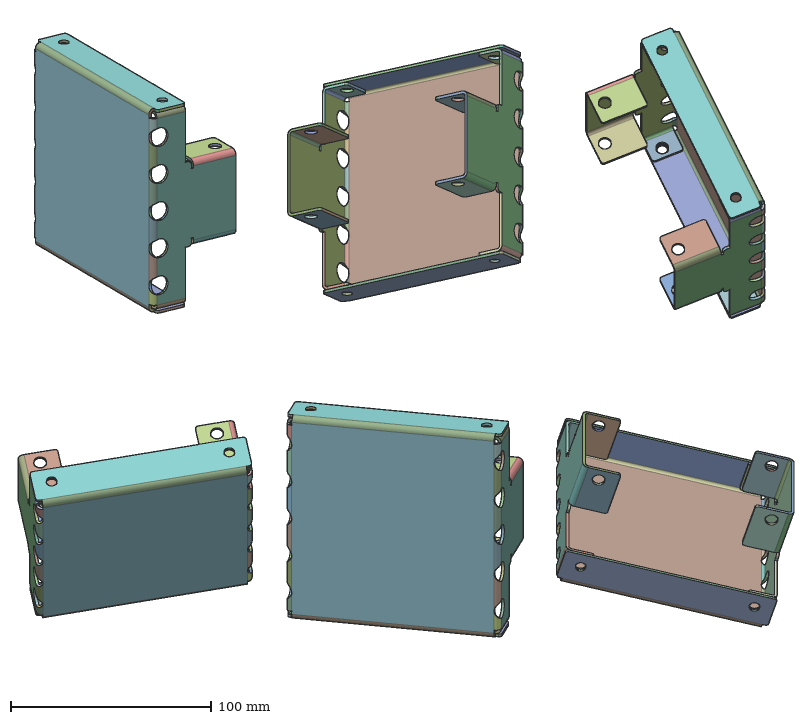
import cadquery as cq
import math

WIDTH = 110.0
HEIGHT = 110.0
DEPTH = 50.0
BEND = 3.0
SHEET = BEND / 2
CORNER = 1.5

RIM_DEPTH = 20.0
LIP_LENGTH = 15.0
LIP_GAP = 0.1
RIM_HOLE_DIAMETER = 5.3
LIP_HOLE_DIAMETER = 6.4
RIM_HOLE_INSET = 9.8
RIM_HOLE_SETBACK = 12.5

EXTENSION_HEIGHT = 46.0
TAB_DEPTH = 25.3
TAB_LENGTH = 20.0
TAB_HOLE_DIAMETER = 6.4
TAB_HOLE_SETBACK = 6.0
RELIEF_WIDTH = 1.2
RELIEF_DEPTH = 4.2
SHOULDER_RADIUS = 2.0

VENT_DIAMETER = 10.0
VENT_PITCH = 20.0
VENT_COUNT = 5
CURVE_POINTS = 24

SIDE_X = WIDTH / 2
TOP_Z = HEIGHT / 2
LIP_Z = TOP_Z - SHEET - LIP_GAP
SIDE_BEND_TOP_Z = LIP_Z - BEND
EXTENSION_TOP_Z = EXTENSION_HEIGHT / 2
TAB_FRONT_Y = DEPTH - TAB_DEPTH
SHOULDER_Y = TAB_FRONT_Y - RELIEF_WIDTH
TAB_HOLE_Y = DEPTH - TAB_HOLE_SETBACK
TAB_HOLE_INSET = TAB_LENGTH / 2

INNER_BEND = BEND - SHEET
NEUTRAL_BEND = (BEND + INNER_BEND) / 2
BEND_ARC = NEUTRAL_BEND * math.pi / 2
VENT_RADIUS = VENT_DIAMETER / 2
VENT_TO_BEND = VENT_RADIUS - BEND_ARC


def channel(plane, span, leg, length):
    """Bent U: web on local y = 0 centred across x, legs along +y, extruded along the normal."""
    half = span / 2
    inner = half - SHEET
    return (
        cq.Workplane(plane)
        .moveTo(-half, leg)
        .lineTo(-half, BEND)
        .radiusArc((-half + BEND, 0), -BEND)
        .lineTo(half - BEND, 0)
        .radiusArc((half, BEND), -BEND)
        .lineTo(half, leg)
        .lineTo(inner, leg)
        .lineTo(inner, BEND)
        .radiusArc((half - BEND, SHEET), INNER_BEND)
        .lineTo(-half + BEND, SHEET)
        .radiusArc((-inner, BEND), INNER_BEND)
        .lineTo(-inner, leg)
        .close()
        .extrude(length)
    )


def both_sides(left):
    """Left-hand body together with its mirror image across X = 0."""
    return left.union(left.mirror("YZ"))


def front_tray():
    """Front panel bent into top and bottom flanges, which run on over the full width."""
    bent_length = WIDTH - 2 * BEND
    plane = cq.Plane(origin=(bent_length / 2, 0, 0), xDir=(0, 0, 1), normal=(-1, 0, 0))
    tray = channel(plane, HEIGHT, RIM_DEPTH, bent_length)
    flange = (
        cq.Workplane("XY", origin=(0, (BEND + RIM_DEPTH) / 2, TOP_Z - SHEET / 2))
        .box(WIDTH, RIM_DEPTH - BEND, SHEET)
        .edges("|Z")
        .fillet(CORNER)
    )
    return tray.union(flange).union(flange.mirror("XY"))


def side_walls():
    """Side walls of the rim, bent back from the front panel."""
    plane = cq.Plane(origin=(0, 0, -SIDE_BEND_TOP_Z), xDir=(1, 0, 0), normal=(0, 0, 1))
    return channel(plane, WIDTH, RIM_DEPTH, 2 * SIDE_BEND_TOP_Z)


def left_return(front_y, height, leg, depth):
    """Stretch of left wall whose top and bottom edges bend inwards, with rounded free corners."""
    plane = cq.Plane(origin=(-SIDE_X, front_y, 0), xDir=(0, 0, 1), normal=(0, 1, 0))
    return channel(plane, height, leg, depth).edges("|Z and >X").fillet(CORNER)


def wall_blade(front_y, rear_y, height):
    """Flat rectangle of the left wall, centred on Z = 0."""
    return (
        cq.Workplane("YZ", origin=(-SIDE_X, (front_y + rear_y) / 2, 0))
        .rect(rear_y - front_y, height)
        .extrude(SHEET)
    )


def left_extension():
    """Rear part of the left wall: rounded shoulders, then relief slots, then bent tabs."""
    shoulders = wall_blade(RIM_DEPTH, SHOULDER_Y, EXTENSION_HEIGHT).edges("|X and >Y").fillet(SHOULDER_RADIUS)
    neck = wall_blade(RIM_DEPTH, DEPTH, EXTENSION_HEIGHT - 2 * RELIEF_DEPTH)
    tabs = left_return(TAB_FRONT_Y, EXTENSION_HEIGHT, TAB_LENGTH, TAB_DEPTH)
    return shoulders.union(neck).union(tabs)


def left_screw_hole(inset, y, diameter, half_height):
    """Cutter for the left pair of screw holes, for all sheet within half_height of Z = 0."""
    return (
        cq.Workplane("XY", origin=(-SIDE_X + inset, y, -half_height))
        .circle(diameter / 2)
        .extrude(2 * half_height)
    )


def vent_edge(radius, side):
    """Upper (side = 1) or lower (side = -1) vent edge, wrapped at a radius from the left bend's axis."""
    start_turn = math.asin(VENT_TO_BEND / VENT_RADIUS)

    def point(t):
        turn = start_turn + t * (math.pi / 2 - start_turn)
        along_bend = VENT_RADIUS * math.sin(turn) - VENT_TO_BEND
        angle = along_bend / NEUTRAL_BEND
        return (
            -SIDE_X + BEND - radius * math.cos(angle),
            BEND - radius * math.sin(angle),
            side * VENT_RADIUS * math.cos(turn),
        )

    return cq.Workplane("XY").parametricCurve(point, N=CURVE_POINTS, makeWire=False).val()


def wrapped_vent():
    """Cutter for the part of a vent at Z = 0 that lies in the left bend, its walls radial to the bend."""
    margin = SHEET / 4
    edges = [
        vent_edge(BEND + margin, 1),
        vent_edge(INNER_BEND - margin, 1),
        vent_edge(INNER_BEND - margin, -1),
        vent_edge(BEND + margin, -1),
    ]
    faces = [cq.Face.makeRuledSurface(edges[i - 1], edges[i]) for i in range(len(edges))]
    start_outline = cq.Wire.makePolygon([edge.startPoint() for edge in edges], close=True)
    faces.append(cq.Face.makeFromWires(start_outline))
    return cq.Workplane(cq.Solid.makeSolid(cq.Shell.makeShell(faces)).fix())


def flat_vent():
    """Cutter for the part of a vent at Z = 0 that lies in the flat left wall, behind the bend."""
    start_half_height = math.sqrt(VENT_RADIUS**2 - VENT_TO_BEND**2)
    rear_y = BEND + VENT_TO_BEND + VENT_RADIUS
    return (
        cq.Workplane("YZ", origin=(-SIDE_X - SHEET, 0, 0))
        .moveTo(BEND, start_half_height)
        .threePointArc((rear_y, 0), (BEND, -start_half_height))
        .close()
        .extrude(3 * SHEET)
    )


left_lips = left_return(BEND, 2 * LIP_Z, LIP_LENGTH, RIM_DEPTH - BEND)
result = front_tray().union(side_walls())
result = result.union(both_sides(left_lips)).union(both_sides(left_extension()))

screw_holes = [
    left_screw_hole(RIM_HOLE_INSET, RIM_HOLE_SETBACK, RIM_HOLE_DIAMETER, TOP_Z),
    left_screw_hole(RIM_HOLE_INSET, RIM_HOLE_SETBACK, LIP_HOLE_DIAMETER, LIP_Z),
    left_screw_hole(TAB_HOLE_INSET, TAB_HOLE_Y, TAB_HOLE_DIAMETER, EXTENSION_TOP_Z),
]
for hole in screw_holes:
    result = result.cut(hole).cut(hole.mirror("YZ"))

vent_parts = [flat_vent(), wrapped_vent()]
for row in range(VENT_COUNT):
    vent_z = (row - (VENT_COUNT - 1) / 2) * VENT_PITCH
    for part in vent_parts:
        left_cutter = part.translate((0, 0, vent_z))
        result = result.cut(left_cutter).cut(left_cutter.mirror("YZ"))
result = result.solids()